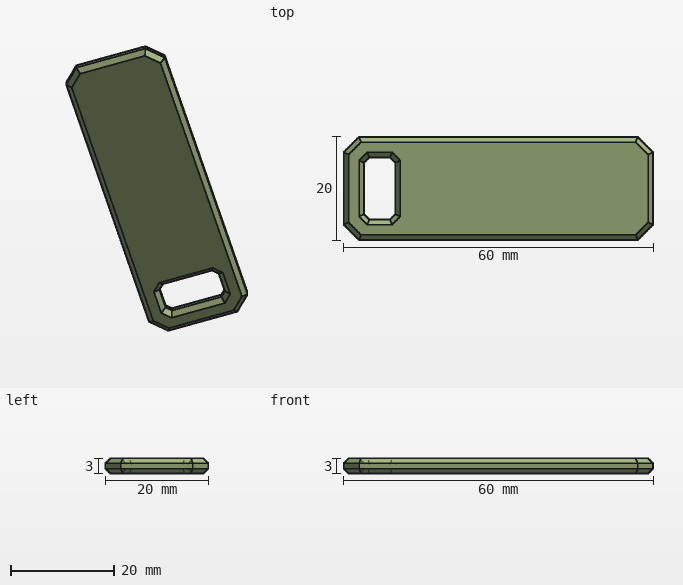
import cadquery as cq

length = 60.0
width = length / 3
thickness = 3.0
corner_cut = 3.0
rim = 3.0
opening_length = 6.0

bevel = thickness / 3
opening_corner_cut = bevel
opening_width = width - 2 * (rim + bevel)
opening_x = -length / 2 + rim + bevel + opening_length / 2


def clipped_block(size_x, size_y, corner):
    """Upright block on Z = 0 with its four vertical corners clipped."""
    block = cq.Workplane("XY").box(size_x, size_y, thickness, centered=(True, True, False))
    return block.edges("|Z").chamfer(corner)


def make_plate():
    """Tag plate with both its top and bottom outlines bevelled."""
    return clipped_block(length, width, corner_cut).faces("|Z").edges().chamfer(bevel)


def cut_opening(plate):
    """Cut the strap opening near the -X end and bevel both of its mouths."""
    opening = clipped_block(opening_length, opening_width, opening_corner_cut)
    pierced = plate.cut(opening.translate((opening_x, 0, 0)))
    mouths = [face.innerWires()[0] for face in pierced.faces("<Z or >Z").vals()]
    mouth_edges = [edge for mouth in mouths for edge in mouth.Edges()]
    return pierced.newObject(mouth_edges).chamfer(bevel)


result = cut_opening(make_plate())